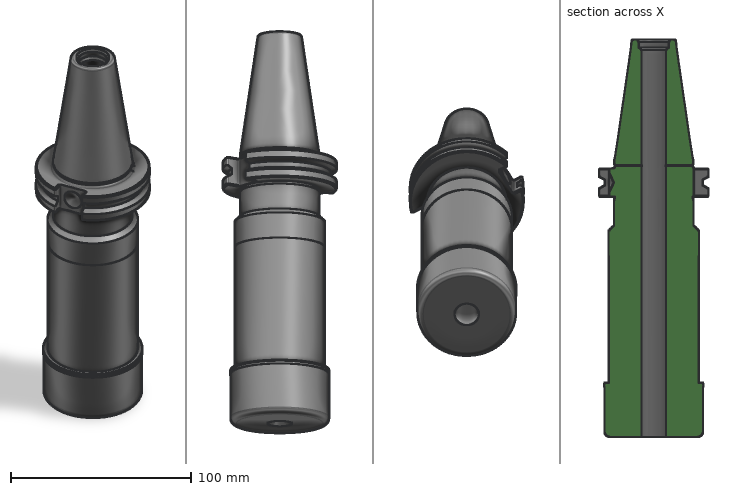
import cadquery as cq
import math

height = 220.6

taper_length = 68.5
taper_ratio = 7 / 24
gauge_diameter = 44.4
tip_diameter = gauge_diameter - taper_length * taper_ratio
tip_fillet = 1.3

relief_diameter = 43.0
relief_taper_height = 1.8
root_fillet = 1.5

flange_gap = 3.0
flange_thickness = 15.9
flange_diameter = 63.3
flange_edge_chamfer = 0.7
groove_diameter = 57.0
groove_floor_width = 3.0
groove_flank_angle = 30.0

neck_diameter = 44.4
shoulder_top = 117.4
shoulder_height = 2.9
collar_diameter = 50.3
collar_bottom = 100.2
body_diameter = 50.0

nut_height = 30.2
nut_diameter = 55.0
nut_fillet = 3.3
nut_collar_diameter = 55.4
nut_collar_height = 2.2
nut_collar_chamfer = 0.7

slot_width = 16.0
slot_corner_radius = 0.7
slot_mouth_radius = 0.7
front_slot_distance = 24.7
back_slot_distance = 22.3
dimple_diameter = 10.5
dimple_cone_angle = 130.0

bore_diameter = 13.5
counterbore_diameter = 16.5
counterbore_depth = 4.5
counterbore_mouth_diameter = 18.3
counterbore_mouth_height = 1.5

gauge_level = height - taper_length
flange_top = gauge_level - flange_gap
flange_bottom = flange_top - flange_thickness
flange_middle = flange_top - flange_thickness / 2


def revolve_profile(points):
    """Revolve (radius, z) points about Z."""
    return cq.Workplane("XZ").polyline(points).close().revolve(360, (0, 0), (0, 1))


def make_shank():
    gauge_radius = gauge_diameter / 2
    relief_radius = relief_diameter / 2
    root_start = flange_top + root_fillet
    root_middle = root_fillet * (1 - math.sqrt(0.5))
    profile = (
        cq.Workplane("XZ")
        .moveTo(0, flange_middle)
        .lineTo(relief_radius + root_fillet, flange_middle)
        .lineTo(relief_radius + root_fillet, flange_top)
        .threePointArc(
            (relief_radius + root_middle, flange_top + root_middle),
            (relief_radius, root_start),
        )
        .lineTo(relief_radius, gauge_level - relief_taper_height)
        .lineTo(gauge_radius, gauge_level)
        .lineTo(tip_diameter / 2, height)
        .lineTo(0, height)
        .close()
    )
    shank = profile.revolve(360, (0, 0), (0, 1))
    return shank.faces(">Z").edges().fillet(tip_fillet)


def slot_cutter(floor_distance, side):
    """Square-cornered drive slot; side is -1 for -Y and +1 for +Y."""
    depth = flange_diameter / 2 - floor_distance
    return (
        cq.Workplane("XY", origin=(0, side * (floor_distance + depth), flange_bottom))
        .rect(slot_width, 2 * depth)
        .extrude(gauge_level - flange_bottom)
    )


def rounded_slot_cutter(floor_distance, side):
    return slot_cutter(floor_distance, side).edges("|Z").fillet(slot_corner_radius)


def is_mouth_edge(edge):
    """True for the upright edges where the slot walls meet the flange rim."""
    center = edge.Center()
    at_rim = math.hypot(center.x, center.y) > flange_diameter / 2 - slot_mouth_radius
    return at_rim and abs(center.x) < slot_width


def is_floor_edge(edge):
    """True for the straight edges along X at the slot floors."""
    return edge.geomType() == "LINE" and edge.BoundingBox().xlen > slot_width / 2


def make_flange():
    blank = (
        cq.Workplane("XY", origin=(0, 0, flange_bottom))
        .circle(flange_diameter / 2)
        .extrude(flange_thickness)
    )
    blank = blank.cut(slot_cutter(front_slot_distance + slot_corner_radius, -1))
    blank = blank.cut(slot_cutter(back_slot_distance + slot_corner_radius, 1))
    mouth_edges = [edge for edge in blank.edges("|Z").vals() if is_mouth_edge(edge)]
    blank = blank.newObject(mouth_edges).fillet(slot_mouth_radius)
    rim_edges = [edge for edge in blank.faces(">Z or <Z").edges().vals() if not is_floor_edge(edge)]
    flange = blank.newObject(rim_edges).chamfer(flange_edge_chamfer)
    return flange.cut(make_groove())


def make_groove():
    """V-shaped gripper groove around the middle of the flange rim."""
    outer_radius = flange_diameter / 2
    floor_radius = groove_diameter / 2
    floor_half = groove_floor_width / 2
    mouth_half = floor_half + (outer_radius - floor_radius) * math.tan(math.radians(groove_flank_angle))
    return revolve_profile([
        (floor_radius, flange_middle - floor_half),
        (outer_radius, flange_middle - mouth_half),
        (outer_radius, flange_middle + mouth_half),
        (floor_radius, flange_middle + floor_half),
    ])


def make_dimple():
    """Conical blind hole entering the floor of the -Y slot."""
    radius = dimple_diameter / 2
    cone_depth = radius / math.tan(math.radians(dimple_cone_angle / 2))
    return (
        cq.Workplane("XY", origin=(0, -front_slot_distance, flange_middle))
        .polyline([(0, 0), (radius, 0), (0, cone_depth)])
        .close()
        .revolve(360, (0, 0), (0, 1))
    )


def make_body():
    neck_radius = neck_diameter / 2
    collar_radius = collar_diameter / 2
    body_radius = body_diameter / 2
    relief_radius = relief_diameter / 2
    return revolve_profile([
        (0, nut_height / 2),
        (body_radius, nut_height / 2),
        (body_radius, collar_bottom),
        (collar_radius, collar_bottom),
        (collar_radius, shoulder_top - shoulder_height),
        (neck_radius, shoulder_top),
        (neck_radius, flange_bottom - relief_taper_height),
        (relief_radius, flange_bottom),
        (relief_radius, flange_middle),
        (0, flange_middle),
    ])


def make_nut():
    nut = cq.Workplane("XY").circle(nut_diameter / 2).extrude(nut_height)
    nut = nut.faces("<Z").edges().fillet(nut_fillet)
    collar = (
        cq.Workplane("XY", origin=(0, 0, nut_height - nut_collar_height))
        .circle(nut_collar_diameter / 2)
        .extrude(nut_collar_height)
        .faces(">Z")
        .edges()
        .chamfer(nut_collar_chamfer)
    )
    return nut.union(collar)


def make_bore():
    """Through bore with a chamfered counterbore that ends in a 45 degree cone."""
    bore_radius = bore_diameter / 2
    counterbore_radius = counterbore_diameter / 2
    counterbore_bottom = height - counterbore_depth
    return revolve_profile([
        (0, 0),
        (bore_radius, 0),
        (bore_radius, counterbore_bottom - (counterbore_radius - bore_radius)),
        (counterbore_radius, counterbore_bottom),
        (counterbore_radius, height - counterbore_mouth_height),
        (counterbore_mouth_diameter / 2, height),
        (0, height),
    ])


result = make_nut().union(make_body()).union(make_flange()).union(make_shank())
result = result.cut(rounded_slot_cutter(front_slot_distance, -1))
result = result.cut(rounded_slot_cutter(back_slot_distance, 1))
result = result.cut(make_dimple()).cut(make_bore())